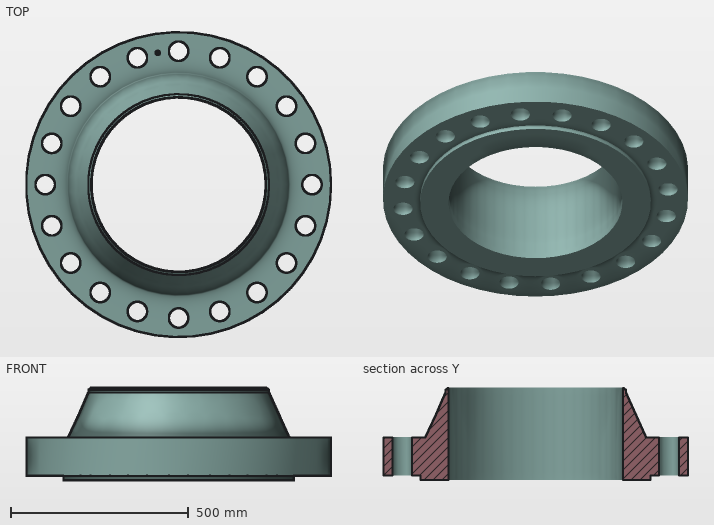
import cadquery as cq
import math

flange_diameter = 857.0
flange_thickness = 108.0

face_diameter = 648.0
face_height = 13.0

total_height = 260.5
hub_base_diameter = 622.0
hub_fillet_radius = 5.0
neck_diameter = 508.0
neck_length = 7.0
bore_diameter = 488.5
weld_land = 2.0
bevel_angle = 37.5

bolt_count = 20
bolt_circle_diameter = 749.0
bolt_hole_diameter = 54.0

pilot_diameter = 7.0
countersink_diameter = 12.0
countersink_depth = 2.5
pilot_depth = 26.0
drill_point_height = 2.1

flange_top = face_height + flange_thickness
bore_radius = bore_diameter / 2
land_radius = bore_radius + weld_land
neck_radius = neck_diameter / 2
bevel_height = (neck_radius - land_radius) * math.tan(math.radians(bevel_angle))
neck_top = total_height - bevel_height
neck_bottom = neck_top - neck_length
bolt_circle_radius = bolt_circle_diameter / 2
bolt_pitch = 360 / bolt_count


def revolve_about_z(half_section):
    """Solid of revolution from (radius, height) points."""
    return cq.Workplane("XZ").polyline(half_section).close().revolve(360, (0, 0), (0, 1))


def bolt_circle_point(angle):
    """Point on the bolt circle at an angle in degrees from +X."""
    turn = math.radians(angle)
    return (bolt_circle_radius * math.cos(turn), bolt_circle_radius * math.sin(turn))


def flange_body():
    """Raised face, disc, hub and bore, with the fillet where the hub meets the disc."""
    body = revolve_about_z([
        (bore_radius, 0),
        (face_diameter / 2, 0),
        (face_diameter / 2, face_height),
        (flange_diameter / 2, face_height),
        (flange_diameter / 2, flange_top),
        (hub_base_diameter / 2, flange_top),
        (neck_radius, neck_bottom),
        (neck_radius, neck_top),
        (land_radius, total_height),
        (bore_radius, total_height),
    ])
    hub_base_edge = cq.selectors.RadiusNthSelector(-3)
    return body.edges("%CIRCLE").edges(hub_base_edge).fillet(hub_fillet_radius)


def bolt_holes():
    """Ring of cylinders through the full disc thickness."""
    centres = [bolt_circle_point(i * bolt_pitch) for i in range(bolt_count)]
    return cq.Workplane("XY").pushPoints(centres).circle(bolt_hole_diameter / 2).extrude(flange_top)


def pilot_hole():
    """Countersunk blind hole with a drill point, half a bolt pitch from +Y toward -X."""
    hole = revolve_about_z([
        (0, 0),
        (countersink_diameter / 2, 0),
        (pilot_diameter / 2, -countersink_depth),
        (pilot_diameter / 2, -pilot_depth),
        (0, -pilot_depth - drill_point_height),
    ])
    x, y = bolt_circle_point(90 + bolt_pitch / 2)
    return hole.translate((x, y, flange_top))


result = flange_body().cut(bolt_holes()).cut(pilot_hole())